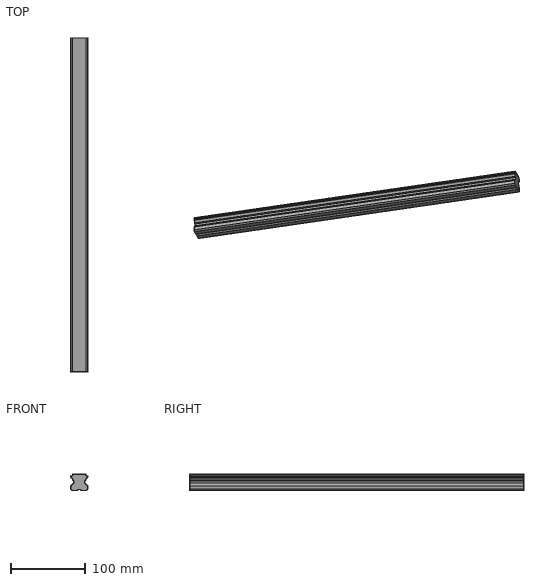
import cadquery as cq

length = 450.0
width = 23.0
height = 22.0

base_chamfer = 2.0
base_side_top = 6.5
web_top = 13.0
head_lower = 18.0
head_upper = 19.5
upper_race_top = 21.0

half_width = width / 2
web_half_width = 7.5
top_half_width = 9.0

flank_run = half_width - web_half_width
web_bottom = base_side_top + flank_run

upper_race_radius = 2.2
lower_race_radius = 3.0
lower_race_inner_margin = 1.12
lower_race_outer_run = 0.5
lower_race_outer_drop = 1.0
lower_race_inner = (web_half_width + lower_race_inner_margin, web_top + lower_race_inner_margin)
lower_race_outer = (half_width - lower_race_outer_run, head_lower - lower_race_outer_drop)

base_groove_half_width = 2.48
base_groove_depth = 1.5
base_groove_radius = (base_groove_half_width**2 + base_groove_depth**2) / (2 * base_groove_depth)


def rail_profile():
    """Right half of the rail section, from the centre plane outward."""
    return (
        cq.Workplane("XZ", origin=(0, length / 2, 0))
        .moveTo(0, base_groove_depth)
        .radiusArc((base_groove_half_width, 0), base_groove_radius)
        .lineTo(half_width - base_chamfer, 0)
        .lineTo(half_width, base_chamfer)
        .lineTo(half_width, base_side_top)
        .lineTo(web_half_width, web_bottom)
        .lineTo(web_half_width, web_top)
        .lineTo(*lower_race_inner)
        .radiusArc(lower_race_outer, lower_race_radius)
        .lineTo(half_width, head_lower)
        .lineTo(half_width, head_upper)
        .radiusArc((top_half_width, upper_race_top), upper_race_radius)
        .lineTo(top_half_width, height)
        .lineTo(0, height)
        .close()
    )


right_half = rail_profile().extrude(length)
result = right_half.union(right_half.mirror("YZ")).clean()